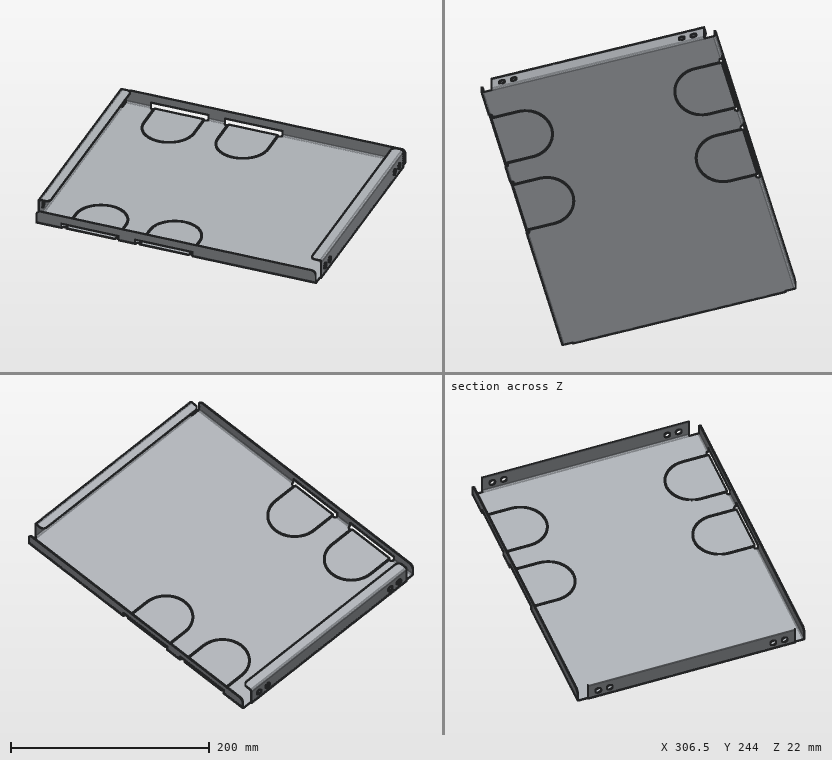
import cadquery as cq

length = 306.5
width = 244.0
height = 22.0

sheet = 1.0
inner_bend = 1.0
outer_bend = inner_bend + sheet
corner_radius = 5.0

end_wall_width = 221.8
lip_width = 12.0

flange_height = 15.0
flange_length = length - 2 * outer_bend

hole_diameter = 6.5
hole_height = 9.2
hole_offsets = (87.5, 100.0)

tongue_positions = (-93.0, -13.2)
slit = 1.0
slit_outer_width = 55.0
slit_depth = 57.5
bridge_width = 1.2

window_width = 62.2
window_height = 5.8
window_inset = 3.7
window_corner = 2.0


def block(size_x, size_y, size_z, z=0.0):
    """Box centred on X and Y with its underside at z."""
    return cq.Workplane("XY").box(size_x, size_y, size_z, centered=(True, True, False)).translate((0, 0, z))


def end_channel():
    """Floor strip with both end walls and their inward lips."""
    outside = block(length, end_wall_width, height).edges("|Y").fillet(outer_bend)
    inside = block(length - 2 * sheet, end_wall_width, height - 2 * sheet, sheet)
    inside = inside.edges("|Y").fillet(inner_bend)
    opening = block(length - 2 * lip_width, end_wall_width, height, height / 2)
    channel = outside.cut(inside).cut(opening)
    lip_corners = cq.selectors.BoxSelector(
        (-length / 2 + outer_bend, -width, height - 2 * sheet),
        (length / 2 - outer_bend, width, height + sheet),
    )
    return channel.edges("|Z").edges(lip_corners).fillet(corner_radius)


def side_tray():
    """Floor with the two upright side flanges."""
    outside = block(flange_length, width, flange_height)
    outside = outside.edges("|X and <Z").fillet(outer_bend)
    outside = outside.edges("|Y and >Z").fillet(corner_radius)
    inside = block(flange_length, width - 2 * sheet, flange_height, sheet)
    inside = inside.edges("|X and <Z").fillet(inner_bend)
    return outside.cut(inside)


def end_wall_holes():
    """Pins along X that pierce both end walls."""
    centres = [(side * offset, hole_height) for side in (-1, 1) for offset in hole_offsets]
    pins = cq.Workplane("YZ").pushPoints(centres).circle(hole_diameter / 2)
    return pins.extrude(length / 2, both=True)


def arch(arch_width, depth):
    """Round-ended prism reaching from the -Y edge into the floor."""
    radius = arch_width / 2
    edge = -width / 2
    straight_end = edge + depth - radius
    return (
        cq.Workplane("XY")
        .moveTo(-radius, edge)
        .lineTo(-radius, straight_end)
        .threePointArc((0, edge + depth), (radius, straight_end))
        .lineTo(radius, edge)
        .close()
        .extrude(sheet)
    )


def tongue_cut():
    """Slit round one tongue on the -Y side, plus the window at its root."""
    tongue = arch(slit_outer_width - 2 * slit, slit_depth - slit)
    tongue = tongue.cut(block(window_width, 2 * outer_bend, sheet).translate((0, -width / 2, 0)))
    bridge = block(bridge_width, 2 * slit, sheet).translate((0, -width / 2 + slit_depth - slit / 2, 0))
    window = block(window_width, 2 * window_inset, window_height).translate((0, -width / 2, 0))
    window = window.edges("|Z and >Y").fillet(window_corner)
    return arch(slit_outer_width, slit_depth).union(window).cut(tongue).cut(bridge)


result = end_channel().union(side_tray()).cut(end_wall_holes())
near_cut = tongue_cut()
far_cut = near_cut.mirror("XZ")
for position in tongue_positions:
    result = result.cut(near_cut.translate((position, 0, 0)))
    result = result.cut(far_cut.translate((position, 0, 0)))